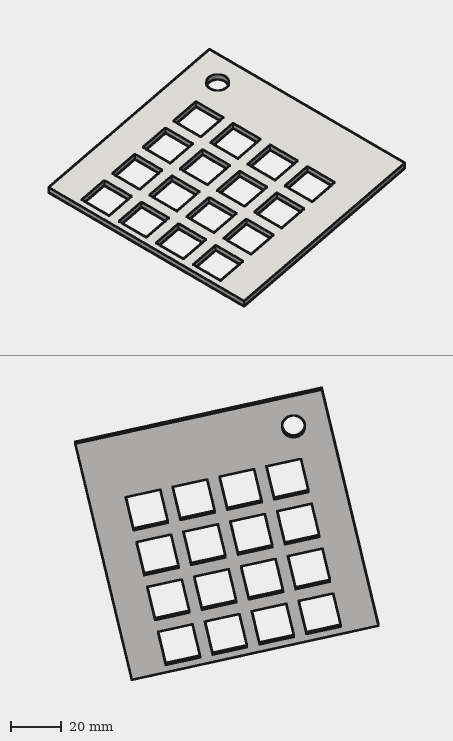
import cadquery as cq

plate_side = 100.0
plate_thickness = 3.0

window_count = 4
window_side = 14.0
window_pitch = 19.0
front_margin = 3.0
grid_span = (window_count - 1) * window_pitch + window_side
grid_center_y = -plate_side / 2 + front_margin + grid_span / 2

hole_diameter = 9.0
hole_from_left = 14.3
hole_from_back = 12.3
hole_x = -plate_side / 2 + hole_from_left
hole_y = plate_side / 2 - hole_from_back

plate = cq.Workplane("XY").box(plate_side, plate_side, plate_thickness)

plate_with_windows = (
    plate.faces(">Z")
    .workplane(origin=(0, grid_center_y, 0))
    .rarray(window_pitch, window_pitch, window_count, window_count)
    .rect(window_side, window_side)
    .cutThruAll()
)

result = (
    plate_with_windows.faces(">Z")
    .workplane(origin=(hole_x, hole_y, 0))
    .hole(hole_diameter)
)